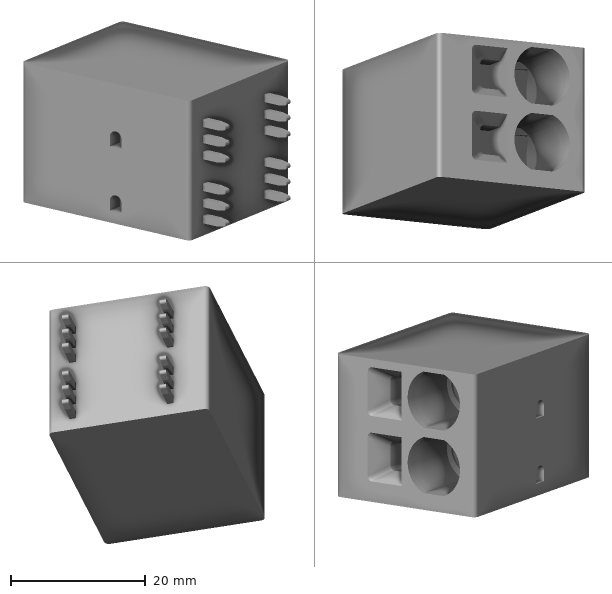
import cadquery as cq
import math

total_length = 35.4
body_length = 31.25
body_width = 24.7
body_height = 21.8
edge_radius = 0.7
front_x = -total_length / 2
back_x = front_x + body_length

pole_pitch = 10.0
pole_levels = (-pole_pitch / 2, pole_pitch / 2)
opening_offset = 0.92

bore_y = -5.0
bore_radius = 4.65
bore_flat_height = 8.53
bore_depth = 10.62
recess_height = 6.55
recess_radius = 3.58
recess_arc_y = -4.5
recess_flat_y = -8.32
seat_tilt = 30.0
seat_drop = bore_radius - recess_height / 2
seat_depth = seat_drop * math.tan(math.radians(seat_tilt))

funnel_inner_y = 0.78
mouth_outer_y = 6.73
throat_outer_y = 4.18
floor_outer_y = 3.1
mouth_height = 7.45
throat_height = 4.4
mouth_depth = 2.25
throat_depth = 3.55
funnel_radius = 0.7

window_x = -0.2
window_width = 2.15
window_height = 2.6
window_bottom = -4.07
window_depth = 2.48

pin_rows_y = (-8.55, 6.48)
pin_pitch = 2.5
pin_offset = -0.9
pins_per_row = 3
pin_thickness = 1.0
pin_height = 1.2
pin_length = total_length - body_length
pin_straight_length = 2.62
pin_nose_length = 0.35
pin_nose_height = 0.78
pin_embed = 0.35


def make_housing():
    block = cq.Workplane("XY").box(body_length, body_width, body_height)
    return block.translate((front_x + body_length / 2, 0, 0)).edges("|Z").fillet(edge_radius)


def section_plane(depth):
    """YZ plane at a depth behind the front face."""
    return cq.Workplane("YZ", origin=(front_x + depth, 0, 0))


def make_bore(level):
    """Flattened bore with a conical seat leading to a D-shaped recess."""
    cylinder = section_plane(0).center(bore_y, level).circle(bore_radius).extrude(bore_depth)
    seat = (
        section_plane(bore_depth).center(bore_y, level).circle(bore_radius)
        .workplane(offset=seat_depth).circle(bore_radius - seat_drop).loft()
    )
    flats = (
        section_plane(0).center(bore_y, level)
        .rect(2 * bore_radius, bore_flat_height).extrude(bore_depth + seat_depth)
    )
    half_height = recess_height / 2
    arc_end_y = recess_arc_y + math.sqrt(recess_radius**2 - half_height**2)
    recess = (
        section_plane(bore_depth)
        .moveTo(recess_flat_y, level - half_height)
        .lineTo(arc_end_y, level - half_height)
        .threePointArc((recess_arc_y + recess_radius, level), (arc_end_y, level + half_height))
        .lineTo(recess_flat_y, level + half_height)
        .close().extrude(seat_depth)
    )
    return cylinder.union(seat).intersect(flats).union(recess)


def funnel_outline(depth, outer_y, height, level):
    """Wire of a rectangle whose two +Y corners are rounded."""
    bottom = level - height / 2
    top = level + height / 2
    return (
        section_plane(depth)
        .moveTo(funnel_inner_y, bottom)
        .lineTo(outer_y - funnel_radius, bottom)
        .radiusArc((outer_y, bottom + funnel_radius), -funnel_radius)
        .lineTo(outer_y, top - funnel_radius)
        .radiusArc((outer_y - funnel_radius, top), -funnel_radius)
        .lineTo(funnel_inner_y, top)
        .close().val()
    )


def make_funnel(level):
    mouth = funnel_outline(0, mouth_outer_y, mouth_height, level)
    throat = funnel_outline(mouth_depth, throat_outer_y, throat_height, level)
    floor = funnel_outline(mouth_depth + throat_depth, floor_outer_y, throat_height, level)
    flare = cq.Workplane(cq.Solid.makeLoft([mouth, throat], True))
    return flare.union(cq.Workplane(cq.Solid.makeLoft([throat, floor], True)))


def make_window(level):
    bottom = level + window_bottom
    half_width = window_width / 2
    spring = bottom + window_height - half_width
    return (
        cq.Workplane("XZ", origin=(window_x, -body_width / 2, 0))
        .moveTo(-half_width, bottom)
        .lineTo(half_width, bottom)
        .lineTo(half_width, spring)
        .threePointArc((0, bottom + window_height), (-half_width, spring))
        .close().extrude(-window_depth)
    )


def make_pin(y, z):
    """Flat pin with a tapered end and a rounded nose."""
    half_height = pin_height / 2
    half_nose = pin_nose_height / 2
    nose_start = pin_length - pin_nose_length
    return (
        cq.Workplane("XZ", origin=(back_x, y, z))
        .moveTo(-pin_embed, -half_height)
        .lineTo(pin_straight_length, -half_height)
        .lineTo(nose_start, -half_nose)
        .threePointArc((pin_length, 0), (nose_start, half_nose))
        .lineTo(pin_straight_length, half_height)
        .lineTo(-pin_embed, half_height)
        .close().extrude(pin_thickness / 2, both=True)
    )


result = make_housing()
for pole_level in pole_levels:
    opening_level = pole_level + opening_offset
    result = result.cut(make_bore(opening_level))
    result = result.cut(make_funnel(opening_level))
    result = result.cut(make_window(pole_level))
    for row_y in pin_rows_y:
        for index in range(pins_per_row):
            steps_from_middle = index - (pins_per_row - 1) / 2
            pin_z = pole_level + pin_offset + steps_from_middle * pin_pitch
            result = result.union(make_pin(row_y, pin_z))